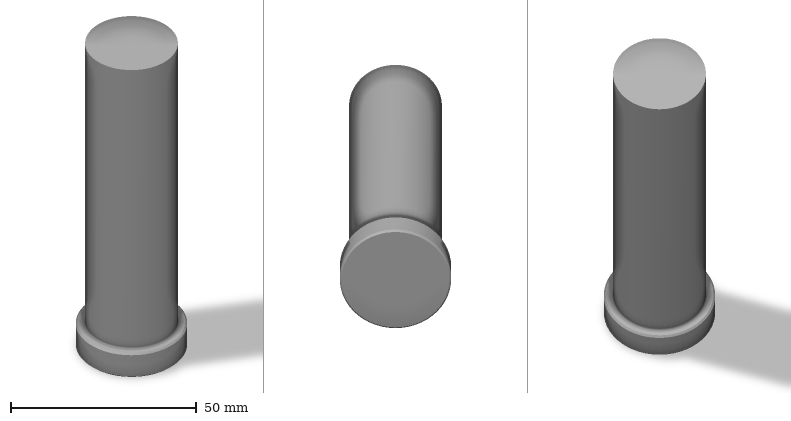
import cadquery as cq

total_length = 100.0
shank_radius = 25.0 / 2
head_radius = 30.0 / 2
head_height = 8.0
head_chamfer = 0.5
neck_fillet = 0.5

half_section = (
    cq.Workplane("XZ")
    .lineTo(head_radius - head_chamfer, 0)
    .lineTo(head_radius, head_chamfer)
    .lineTo(head_radius, head_height - head_chamfer)
    .lineTo(head_radius - head_chamfer, head_height)
    .lineTo(shank_radius + neck_fillet, head_height)
    .radiusArc((shank_radius, head_height + neck_fillet), neck_fillet)
    .lineTo(shank_radius, total_length)
    .lineTo(0, total_length)
    .close()
)

result = half_section.revolve(360, (0, 0), (0, 1))